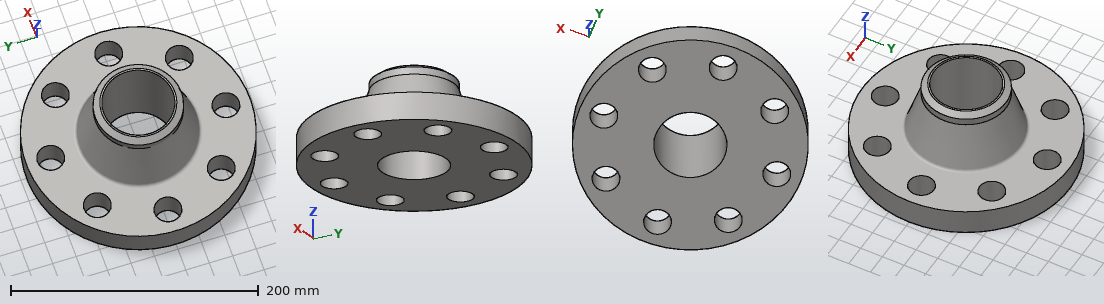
import cadquery as cq
import math

flange_diameter = 190.5
flange_thickness = 23.88
overall_height = 74.68

bolt_circle_diameter = 149.35
bolt_hole_diameter = 22.35
bolt_hole_count = 8
bolt_circle_radius = bolt_circle_diameter / 2

bore_diameter = 59.0
pipe_diameter = 73.15
hub_base_diameter = 100.08
hub_fillet_radius = 3.0
weld_land_width = 1.6
weld_bevel_angle = 35.0
pipe_straight_length = 6.35

selection_margin = 0.1

bore_radius = bore_diameter / 2
pipe_radius = pipe_diameter / 2
land_radius = bore_radius + weld_land_width
bevel_height = (pipe_radius - land_radius) * math.tan(math.radians(weld_bevel_angle))
bevel_base_z = overall_height - bevel_height
taper_top_z = bevel_base_z - pipe_straight_length


def make_flange_body():
    """Revolve the plate, tapered hub and bevelled weld end about Z."""
    profile = (
        cq.Workplane("XZ")
        .moveTo(bore_radius, 0)
        .lineTo(flange_diameter / 2, 0)
        .lineTo(flange_diameter / 2, flange_thickness)
        .lineTo(hub_base_diameter / 2, flange_thickness)
        .lineTo(pipe_radius, taper_top_z)
        .lineTo(pipe_radius, bevel_base_z)
        .lineTo(land_radius, overall_height)
        .lineTo(bore_radius, overall_height)
        .close()
    )
    return profile.revolve(360, (0, 0, 0), (0, 1, 0))


def round_hub_root(body):
    """Fillet the corner where the hub meets the flange face."""
    hub_root = cq.selectors.BoxSelector(
        (-bolt_circle_radius, -bolt_circle_radius, flange_thickness - selection_margin),
        (bolt_circle_radius, bolt_circle_radius, flange_thickness + selection_margin),
        boundingbox=True,
    )
    return body.edges(hub_root).fillet(hub_fillet_radius)


def cut_bolt_holes(body):
    """Drill the ring of bolt holes through the plate."""
    holes = (
        cq.Workplane("XY")
        .polarArray(bolt_circle_radius, 0, 360, bolt_hole_count)
        .circle(bolt_hole_diameter / 2)
        .extrude(flange_thickness)
    )
    return body.cut(holes)


flange_body = round_hub_root(make_flange_body())
result = cut_bolt_holes(flange_body)